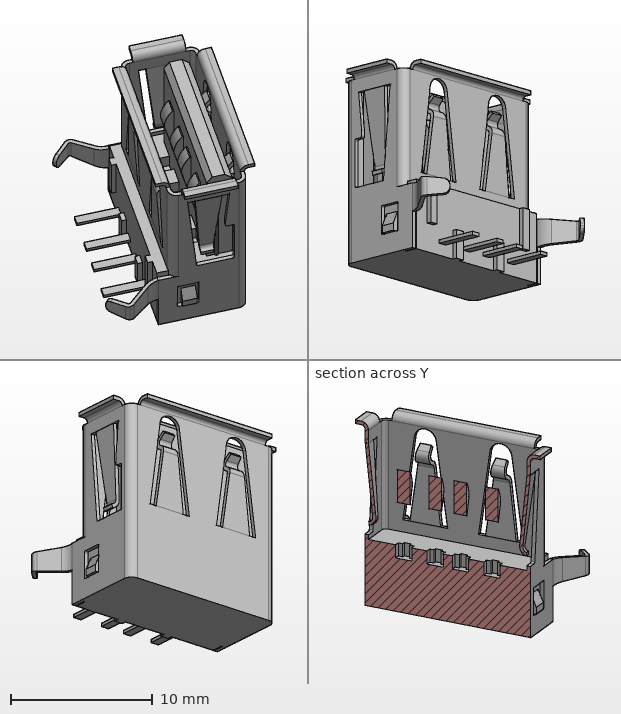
import cadquery as cq
import math


SHEET = 0.3
SHELL_WIDTH = 13.15
SHELL_DEPTH = 5.73
SHELL_HEIGHT = 13.4
SHELL_CORNER_RADIUS = 0.65
HALF_WIDTH = SHELL_WIDTH / 2
HALF_DEPTH = SHELL_DEPTH / 2
INNER_HALF_WIDTH = HALF_WIDTH - SHEET
INNER_HALF_DEPTH = HALF_DEPTH - SHEET

LIP_BEND_RADIUS = 0.6 - SHEET / 2
LIP_FLAT = 0.465
LONG_LIP_WIDTH = 11.3
SHORT_LIP_WIDTH = 3.9

WING_HEIGHT = 4.74
WING_FRONT_Y = -3.69

SPRING_X = 3.0
SPRING_ROOT_Z = 6.03
SPRING_SLOT_TOP_Z = 13.26
SPRING_SLOT_HALF_WIDTH = 1.77
SPRING_SLOT_TAPER = 0.139
SPRING_HALF_WIDTH = 1.22
SPRING_TIP_HALF_WIDTH = 0.42
SPRING_TIP_Z = 12.2
SPRING_LEAF_LENGTH = 4.33
SPRING_OUTWARD_TILT = 1.6
SPRING_BEND_RADIUS = 0.47
SPRING_INWARD_TURN = 71.6
SPRING_OUTWARD_TURN = 115
SPRING_TIP_LENGTH = 0.56

SIDE_SPRING_ROOT_Z = 12.4
SIDE_SPRING_HALF_WIDTH = 1.01
SIDE_SPRING_TIP_HALF_WIDTH = 0.43
SIDE_SPRING_TIP_Z = 6.15
SIDE_SPRING_KNEE_Z = 6.86
SIDE_SPRING_INWARD_TILT = 6.1
SIDE_SPRING_BEND_RADIUS = 0.5
SIDE_SPRING_TURN = 90
SIDE_WINDOW_BOTTOM_Z = 5.45
SIDE_WINDOW_STEP_Z = 9.02
SIDE_WINDOW_STEP_Y = 1.24
SIDE_WINDOW_TOP_HALF_WIDTH = 1.53
SIDE_WINDOW_BACK_Y = 1.87
SIDE_WINDOW_FRONT_Y = -0.88
SIDE_WINDOW_TAPER_END_Z = 9.6
SIDE_WINDOW_CORNER_RADIUS = 0.12

LATCH_WINDOW_Y = (-2.29, -0.70)
LATCH_WINDOW_Z = (1.52, 3.64)
LATCH_CORNER_RADIUS = 0.08
LATCH_Y = (-1.95, -0.88)
LATCH_BOTTOM_Z = 1.58
LATCH_EDGE_Z = 2.11
LATCH_TOP_Z = 3.05
LATCH_PROTRUSION = 0.12

LEG_MID_Z = 3.70
LEG_ROOT_HALF_HEIGHT = 1.02
LEG_TIP_HALF_HEIGHT = 0.51
LEG_TIP_ROUNDING = 0.47
LEG_TAPER_END_Y = -7.7
LEG_SPLAY = 40
LEG_FOOT_RETURN = 43
LEG_FIRST_BEND_RADIUS = 1.43
LEG_STRAIGHT = 1.765
LEG_SECOND_BEND_RADIUS = 0.31
LEG_FOOT_LENGTH = 1.595

BASE_FRONT_WIDTH = 12.35
BASE_FRONT_Y = WING_FRONT_Y
BASE_HEIGHT = 5.1
RIB_FRONT_Y = -4.05
RIB_SPLIT_Z = 2.1
UPPER_RIB_X = 4.74
UPPER_RIB_WIDTH = 0.65
LOWER_RIB_X = 2.08
LOWER_RIB_WIDTH = 0.7

TONGUE_WIDTH = 11.18
TONGUE_BACK_Y = 2.0
TONGUE_FRONT_Y = 0.12
TONGUE_TOP_Z = 13.43
TONGUE_CHAMFER_HEIGHT = 0.53
TONGUE_BACK_CHAMFER = 0.54
TONGUE_FRONT_CHAMFER = 0.41
TONGUE_KEY_Y = 0.845
TONGUE_KEY_BASE_WIDTH = 0.31
TONGUE_KEY_TIP_WIDTH = 0.16
TONGUE_KEY_HEIGHT = 0.12
TONGUE_KEY_TOP_Z = 10.5

CONTACT_X = (-3.5, -1.0, 1.0, 3.5)
CONTACT_WIDTH = 1.03
CONTACT_TOP_Z = 11.2
CONTACT_TOP_Y = 0.03
CONTACT_CREST_Y = -0.58
CONTACT_CREST_Z = 9.7
CONTACT_BULGE = (-0.42, 10.5)
CONTACT_FOOT_Z = 6.9
CONTACT_SLOT_WIDTH = 1.24
CONTACT_SLOT_FRONT_Y = -0.6
CONTACT_NOTCH_WIDTH = 0.54
CONTACT_NOTCH_FRONT_Y = -0.84
CONTACT_SLOT_DEPTH = 1.0
PIN_WIDTH = 0.66
PIN_THICKNESS = 0.25
PIN_MID_Z = 1.0
PIN_END_Y = -6.92


def box(x_range, y_range, z_range):
    """Box spanning the given (low, high) ranges."""
    sizes = [high - low for low, high in (x_range, y_range, z_range)]
    corner = (x_range[0], y_range[0], z_range[0])
    return cq.Workplane("XY").box(*sizes, centered=False).translate(corner)


def centred(middle, width):
    """Range of the given width about a middle value."""
    return (middle - width / 2, middle + width / 2)


def mirrored(solid, plane):
    """Solid together with its mirror image."""
    return solid.union(solid.mirror(plane))


def bent_strip(plane, start, heading, steps):
    """Outline of a sheet strip laid along lines and bends about its mid line.

    Headings are in degrees from the plane's first axis. A step is either
    ("line", length) or ("bend", mid radius, turn) with left turns positive.
    """
    def beside(point, angle, offset):
        radians = math.radians(angle)
        return (point[0] - offset * math.sin(radians), point[1] + offset * math.cos(radians))

    half = SHEET / 2
    sides = {half: [], -half: []}
    point = start
    start_angle = heading
    for step in steps:
        if step[0] == "line":
            radians = math.radians(heading)
            point = (point[0] + step[1] * math.cos(radians), point[1] + step[1] * math.sin(radians))
            middle = None
        else:
            radius, turn = step[1:]
            to_centre = math.copysign(radius, turn)
            centre = beside(point, heading, to_centre)
            middle_angle = heading + turn / 2
            middle = beside(centre, middle_angle, -to_centre)
            heading += turn
            point = beside(centre, heading, -to_centre)
        for offset, side in sides.items():
            through = middle and beside(middle, middle_angle, offset)
            side.append((through, beside(point, heading, offset)))

    def draw(outline, through, end):
        if through:
            return outline.threePointArc(through, end)
        return outline.lineTo(*end)

    left_start = beside(start, start_angle, half)
    right_start = beside(start, start_angle, -half)
    outline = cq.Workplane(plane).moveTo(*left_start)
    for through, end in sides[half]:
        outline = draw(outline, through, end)
    outline = outline.lineTo(*sides[-half][-1][1])
    right_ends = [right_start] + [end for through, end in sides[-half][:-1]]
    right_throughs = [through for through, end in sides[-half]]
    for through, end in zip(reversed(right_throughs), reversed(right_ends)):
        outline = draw(outline, through, end)
    return outline.close()


def shell_tube():
    """Rounded tube with forward wings on its side walls."""
    tube = (
        cq.Workplane("XY")
        .rect(SHELL_WIDTH, SHELL_DEPTH)
        .extrude(SHELL_HEIGHT)
        .edges("|Z")
        .fillet(SHELL_CORNER_RADIUS)
    )
    cavity = (
        cq.Workplane("XY")
        .rect(2 * INNER_HALF_WIDTH, 2 * INNER_HALF_DEPTH)
        .extrude(SHELL_HEIGHT)
        .edges("|Z")
        .fillet(SHELL_CORNER_RADIUS - SHEET)
    )
    corner_y = SHELL_CORNER_RADIUS - HALF_DEPTH
    wing = box((-HALF_WIDTH, -INNER_HALF_WIDTH), (WING_FRONT_Y, corner_y), (0, WING_HEIGHT))
    return tube.cut(cavity).union(mirrored(wing, "YZ"))


def mouth_lips():
    """Four lips curling outwards at the mouth, one per wall."""
    steps = [("bend", LIP_BEND_RADIUS, 90), ("line", LIP_FLAT)]
    back_start = (-HALF_DEPTH + SHEET / 2, SHELL_HEIGHT)
    side_start = (-HALF_WIDTH + SHEET / 2, SHELL_HEIGHT)
    front = bent_strip("YZ", back_start, 90, steps).extrude(LONG_LIP_WIDTH / 2, both=True)
    side = bent_strip("XZ", side_start, 90, steps).extrude(SHORT_LIP_WIDTH / 2, both=True)
    return mirrored(front, "XZ").union(mirrored(side, "YZ"))


def spring_slots():
    """Tapered, round-topped slots through the front and back walls."""
    taper_angle = math.atan(SPRING_SLOT_TAPER)
    height = SPRING_SLOT_TOP_Z - SPRING_ROOT_Z
    apex_half_width = SPRING_SLOT_HALF_WIDTH - SPRING_SLOT_TAPER * height
    radius = apex_half_width * math.cos(taper_angle) / (1 - math.sin(taper_angle))
    centre_z = SPRING_SLOT_TOP_Z - radius
    tangent_x = radius * math.cos(taper_angle)
    tangent_z = centre_z + radius * math.sin(taper_angle)
    slot = (
        cq.Workplane("XZ")
        .moveTo(SPRING_X - SPRING_SLOT_HALF_WIDTH, SPRING_ROOT_Z)
        .lineTo(SPRING_X - tangent_x, tangent_z)
        .threePointArc((SPRING_X, SPRING_SLOT_TOP_Z), (SPRING_X + tangent_x, tangent_z))
        .lineTo(SPRING_X + SPRING_SLOT_HALF_WIDTH, SPRING_ROOT_Z)
        .close()
        .extrude(SHELL_DEPTH, both=True)
    )
    return mirrored(slot, "YZ")


def wall_springs():
    """Tapered leaf springs standing in the front and back slots."""
    steps = [
        ("line", SPRING_LEAF_LENGTH),
        ("bend", SPRING_BEND_RADIUS, -SPRING_INWARD_TURN),
        ("bend", SPRING_BEND_RADIUS, SPRING_OUTWARD_TURN),
        ("line", SPRING_TIP_LENGTH),
    ]
    start = (-HALF_DEPTH + SHEET / 2, SPRING_ROOT_Z)
    leaf = bent_strip("YZ", start, 90 + SPRING_OUTWARD_TILT, steps).extrude(SHELL_WIDTH, both=True)
    taper = (SPRING_HALF_WIDTH - SPRING_TIP_HALF_WIDTH) / (SPRING_TIP_Z - SPRING_ROOT_Z)
    low_z = SPRING_ROOT_Z - SHEET
    high_z = SPRING_TIP_Z + SHEET
    low_half = SPRING_HALF_WIDTH + taper * SHEET
    high_half = SPRING_TIP_HALF_WIDTH - taper * SHEET
    outline = (
        cq.Workplane("XZ")
        .polyline([
            (SPRING_X - low_half, low_z),
            (SPRING_X - high_half, high_z),
            (SPRING_X + high_half, high_z),
            (SPRING_X + low_half, low_z),
        ])
        .close()
        .extrude(SHELL_DEPTH, both=True)
    )
    return mirrored(mirrored(leaf.intersect(outline), "YZ"), "XZ")


def side_windows():
    """Stepped windows through both side walls."""
    window = (
        cq.Workplane("YZ")
        .polyline([
            (-SIDE_WINDOW_TOP_HALF_WIDTH, SIDE_SPRING_ROOT_Z),
            (SIDE_WINDOW_TOP_HALF_WIDTH, SIDE_SPRING_ROOT_Z),
            (SIDE_WINDOW_STEP_Y, SIDE_WINDOW_TAPER_END_Z),
            (SIDE_WINDOW_STEP_Y, SIDE_WINDOW_STEP_Z),
            (SIDE_WINDOW_BACK_Y, SIDE_WINDOW_STEP_Z),
            (SIDE_WINDOW_BACK_Y, SIDE_WINDOW_BOTTOM_Z),
            (SIDE_WINDOW_FRONT_Y, SIDE_WINDOW_BOTTOM_Z),
        ])
        .close()
        .extrude(SHELL_WIDTH, both=True)
    )
    lower_half = cq.selectors.BoxSelector(
        (-2 * SHELL_WIDTH, -HALF_DEPTH, 0),
        (2 * SHELL_WIDTH, HALF_DEPTH, SIDE_WINDOW_STEP_Z + SHEET),
    )
    return window.edges("|X").edges(lower_half).fillet(SIDE_WINDOW_CORNER_RADIUS)


def side_springs():
    """Tapered leaf springs hanging in the side windows, leaning inwards."""
    leaf_length = (SIDE_SPRING_ROOT_Z - SIDE_SPRING_KNEE_Z) / math.cos(math.radians(SIDE_SPRING_INWARD_TILT))
    steps = [
        ("line", leaf_length),
        ("bend", SIDE_SPRING_BEND_RADIUS, -SIDE_SPRING_TURN),
    ]
    start = (-HALF_WIDTH + SHEET / 2, SIDE_SPRING_ROOT_Z)
    leaf = bent_strip("XZ", start, SIDE_SPRING_INWARD_TILT - 90, steps).extrude(SHELL_DEPTH, both=True)
    outline = (
        cq.Workplane("YZ")
        .polyline([
            (-SIDE_SPRING_HALF_WIDTH, SIDE_SPRING_ROOT_Z + SHEET),
            (SIDE_SPRING_HALF_WIDTH, SIDE_SPRING_ROOT_Z + SHEET),
            (SIDE_SPRING_TIP_HALF_WIDTH, SIDE_SPRING_TIP_Z - SHEET),
            (-SIDE_SPRING_TIP_HALF_WIDTH, SIDE_SPRING_TIP_Z - SHEET),
        ])
        .close()
        .extrude(SHELL_WIDTH, both=True)
    )
    return mirrored(leaf.intersect(outline), "YZ")


def latch_windows():
    """Rectangular windows low in both side walls."""
    window = box((-SHELL_WIDTH, SHELL_WIDTH), LATCH_WINDOW_Y, LATCH_WINDOW_Z)
    return window.edges("|X").fillet(LATCH_CORNER_RADIUS)


def mounting_legs():
    """Kinked board legs continuing the side wings."""
    steps = [
        ("bend", LEG_FIRST_BEND_RADIUS, -LEG_SPLAY),
        ("line", LEG_STRAIGHT),
        ("bend", LEG_SECOND_BEND_RADIUS, LEG_SPLAY + LEG_FOOT_RETURN),
        ("line", LEG_FOOT_LENGTH),
    ]
    start = (-HALF_WIDTH + SHEET / 2, WING_FRONT_Y)
    strip = bent_strip("XY", start, -90, steps).extrude(SHELL_HEIGHT)
    outline = (
        cq.Workplane("YZ")
        .polyline([
            (WING_FRONT_Y, LEG_MID_Z + LEG_ROOT_HALF_HEIGHT),
            (LEG_TAPER_END_Y, LEG_MID_Z + LEG_TIP_HALF_HEIGHT),
            (LEG_TAPER_END_Y, LEG_MID_Z - LEG_TIP_HALF_HEIGHT),
            (WING_FRONT_Y, LEG_MID_Z - LEG_ROOT_HALF_HEIGHT),
        ])
        .close()
        .extrude(SHELL_WIDTH, both=True)
    )
    leg = strip.intersect(outline)
    leg = leg.faces("<Y").edges("not |Z").fillet(LEG_TIP_ROUNDING)
    return mirrored(leg, "YZ")


def insulator_base():
    """Block filling the lower shell, stepping out in front of its front wall."""
    half_front = BASE_FRONT_WIDTH / 2
    filling = box(
        (-INNER_HALF_WIDTH, INNER_HALF_WIDTH),
        (-INNER_HALF_DEPTH, INNER_HALF_DEPTH),
        (0, BASE_HEIGHT),
    ).edges("|Z").fillet(SHELL_CORNER_RADIUS - SHEET)
    front = box((-half_front, half_front), (BASE_FRONT_Y, -INNER_HALF_DEPTH), (0, BASE_HEIGHT))
    return filling.union(front)


def standoff_ribs():
    """Ribs on the front of the base: two high outer ones and two low inner ones."""
    depth = (RIB_FRONT_Y, BASE_FRONT_Y)
    upper = box(centred(UPPER_RIB_X, UPPER_RIB_WIDTH), depth, (RIB_SPLIT_Z, BASE_HEIGHT))
    lower = box(centred(LOWER_RIB_X, LOWER_RIB_WIDTH), depth, (0, RIB_SPLIT_Z))
    return mirrored(upper.union(lower), "YZ")


def latch_wedges():
    """Wedges on the sides of the base with a sloping top."""
    edge_x = HALF_WIDTH + LATCH_PROTRUSION
    wedge = (
        cq.Workplane("XZ", origin=(0, LATCH_Y[1], 0))
        .polyline([
            (INNER_HALF_WIDTH, LATCH_BOTTOM_Z),
            (edge_x, LATCH_BOTTOM_Z),
            (edge_x, LATCH_EDGE_Z),
            (INNER_HALF_WIDTH, LATCH_TOP_Z),
        ])
        .close()
        .extrude(LATCH_Y[1] - LATCH_Y[0])
    )
    return mirrored(wedge, "YZ")


def tongue():
    """Contact carrier rising from the base, chamfered at the top, with side keys."""
    chamfer_z = TONGUE_TOP_Z - TONGUE_CHAMFER_HEIGHT
    blade = (
        cq.Workplane("YZ")
        .polyline([
            (TONGUE_FRONT_Y, 0),
            (TONGUE_FRONT_Y, chamfer_z),
            (TONGUE_FRONT_Y + TONGUE_FRONT_CHAMFER, TONGUE_TOP_Z),
            (TONGUE_BACK_Y - TONGUE_BACK_CHAMFER, TONGUE_TOP_Z),
            (TONGUE_BACK_Y, chamfer_z),
            (TONGUE_BACK_Y, 0),
        ])
        .close()
        .extrude(TONGUE_WIDTH / 2, both=True)
    )
    side_x = TONGUE_WIDTH / 2
    tip_x = side_x + TONGUE_KEY_HEIGHT
    base_front, base_back = centred(TONGUE_KEY_Y, TONGUE_KEY_BASE_WIDTH)
    tip_front, tip_back = centred(TONGUE_KEY_Y, TONGUE_KEY_TIP_WIDTH)
    key = (
        cq.Workplane("XY")
        .polyline([(side_x, base_front), (tip_x, tip_front), (tip_x, tip_back), (side_x, base_back)])
        .close()
        .extrude(TONGUE_KEY_TOP_Z)
    )
    return blade.union(mirrored(key, "YZ"))


def contact_slot(x):
    """Opening in the floor of the cavity in front of one contact."""
    depth = (BASE_HEIGHT - CONTACT_SLOT_DEPTH, BASE_HEIGHT)
    slot = box(centred(x, CONTACT_SLOT_WIDTH), (CONTACT_SLOT_FRONT_Y, TONGUE_FRONT_Y), depth)
    notch = box(centred(x, CONTACT_NOTCH_WIDTH), (CONTACT_NOTCH_FRONT_Y, TONGUE_FRONT_Y), depth)
    return slot.union(notch)


def contact(x):
    """Bulging contact on the tongue face and its straight pin."""
    bulge = (
        cq.Workplane("YZ", origin=(x, 0, 0))
        .moveTo(TONGUE_FRONT_Y, CONTACT_TOP_Z)
        .lineTo(CONTACT_TOP_Y, CONTACT_TOP_Z)
        .threePointArc(CONTACT_BULGE, (CONTACT_CREST_Y, CONTACT_CREST_Z))
        .lineTo(TONGUE_FRONT_Y, CONTACT_FOOT_Z)
        .close()
        .extrude(CONTACT_WIDTH / 2, both=True)
    )
    pin = box(centred(x, PIN_WIDTH), (PIN_END_Y, BASE_FRONT_Y), centred(PIN_MID_Z, PIN_THICKNESS))
    return bulge.union(pin)


shell = shell_tube().cut(spring_slots()).cut(side_windows()).cut(latch_windows())
shell = shell.union(mouth_lips()).union(wall_springs()).union(side_springs()).union(mounting_legs())

base = insulator_base()
for contact_x in CONTACT_X:
    base = base.cut(contact_slot(contact_x))

result = shell.union(base).union(standoff_ribs()).union(latch_wedges()).union(tongue())
for contact_x in CONTACT_X:
    result = result.union(contact(contact_x))